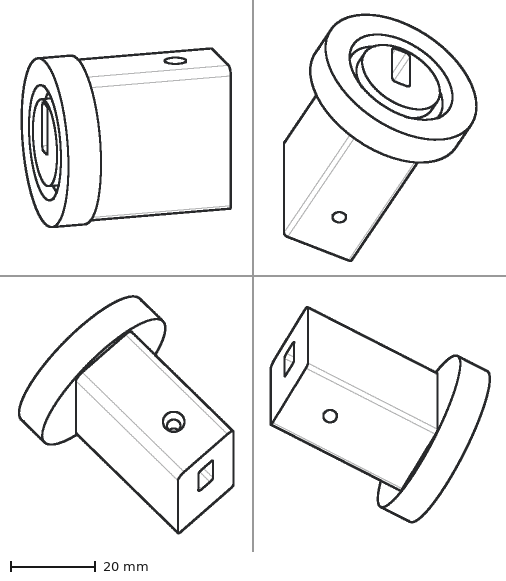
import cadquery as cq
import math

total_length = 43.0
flange_diameter = 40.0
flange_thickness = 8.0

body_width = 18.05
body_height = 35.0
top_corner_radius = 2.0
bottom_corner_radius = 1.0

groove_inner_diameter = 20.6
groove_floor_diameter = 25.1
groove_mouth_diameter = 27.25
groove_depth = 3.0

slot_width = 4.7
slot_height = 12.0
slot_center_z = 3.53
slot_corner_radius = 1.0

hole_diameter = 3.2
countersink_diameter = 5.07
countersink_depth = 2.5
hole_to_body_end = 11.0


def make_flange():
    disc = cq.Workplane("XZ").circle(flange_diameter / 2).extrude(-flange_thickness)
    return disc.cut(make_groove())


def make_groove():
    """Ring with a straight inner wall and a sloping outer wall."""
    profile = [
        (groove_inner_diameter / 2, 0),
        (groove_mouth_diameter / 2, 0),
        (groove_floor_diameter / 2, groove_depth),
        (groove_inner_diameter / 2, groove_depth),
    ]
    return cq.Workplane("XY").polyline(profile).close().revolve(360, (0, 0, 0), (0, 1, 0))


def make_body():
    body_length = total_length - flange_thickness
    body = (
        cq.Workplane("XZ", origin=(0, flange_thickness, 0))
        .rect(body_width, body_height)
        .extrude(-body_length)
    )
    body = body.faces(">Z").edges("|Y").fillet(top_corner_radius)
    return body.faces("<Z").edges("|Y").fillet(bottom_corner_radius)


def make_slot():
    slot = (
        cq.Workplane("XZ")
        .center(0, slot_center_z)
        .rect(slot_width, slot_height)
        .extrude(-total_length)
    )
    return slot.edges("|Y").fillet(slot_corner_radius)


def drill_cross_hole(part):
    countersink_step = (countersink_diameter - hole_diameter) / 2
    countersink_angle = 2 * math.degrees(math.atan2(countersink_step, countersink_depth))
    top_plane = cq.Workplane("XY", origin=(0, total_length - hole_to_body_end, body_height / 2))
    return part.copyWorkplane(top_plane).cskHole(hole_diameter, countersink_diameter, countersink_angle)


part = make_flange().union(make_body()).cut(make_slot())
result = drill_cross_hole(part)